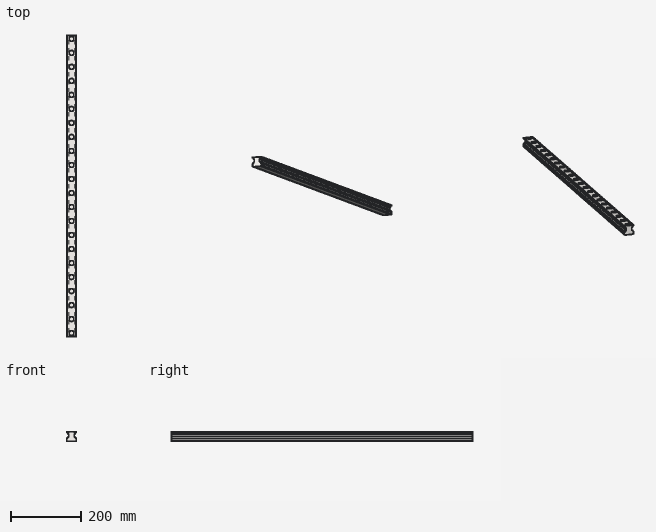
import cadquery as cq

rail_length = 860.0
rail_width = 28.0
overall_height = 28.0

cap_pitch = 40.0
cap_count = 22
cap_diameter = 14.0
cap_rise = 0.5
cap_seat_depth = 1.0

edge_half_width = rail_width / 2
head_lip_half_width = 12.0
head_flank_half_width = 11.0
waist_half_width = 8.5
foot_flank_half_width = 11.5
foot_lip_half_width = 12.3
foot_chamfer = 2.0

bottom_face = -overall_height / 2
top_face = overall_height / 2 - cap_rise
head_edge_bottom = 12.5
head_lip = 11.5
head_flank = 9.0
waist_top = 6.0
waist_bottom = 0.0
foot_flank = -3.0
foot_lip = -4.5
foot_edge_top = -6.0


def make_rail():
    """Symmetric hourglass section extruded along Y, centred on the origin."""
    right_side = [
        (edge_half_width, top_face),
        (edge_half_width, head_edge_bottom),
        (head_lip_half_width, head_lip),
        (head_flank_half_width, head_flank),
        (waist_half_width, waist_top),
        (waist_half_width, waist_bottom),
        (foot_flank_half_width, foot_flank),
        (foot_lip_half_width, foot_lip),
        (edge_half_width, foot_edge_top),
        (edge_half_width, bottom_face + foot_chamfer),
        (edge_half_width - foot_chamfer, bottom_face),
    ]
    left_side = [(-x, z) for x, z in reversed(right_side)]
    section = cq.Workplane("XZ").polyline(right_side + left_side).close()
    return section.extrude(rail_length / 2, both=True)


def make_caps():
    """Evenly spaced row of round caps, rooted in the head and centred along Y."""
    return (
        cq.Workplane("XY")
        .workplane(offset=top_face - cap_seat_depth)
        .rarray(1, cap_pitch, 1, cap_count)
        .circle(cap_diameter / 2)
        .extrude(cap_seat_depth + cap_rise)
    )


result = make_rail().union(make_caps())